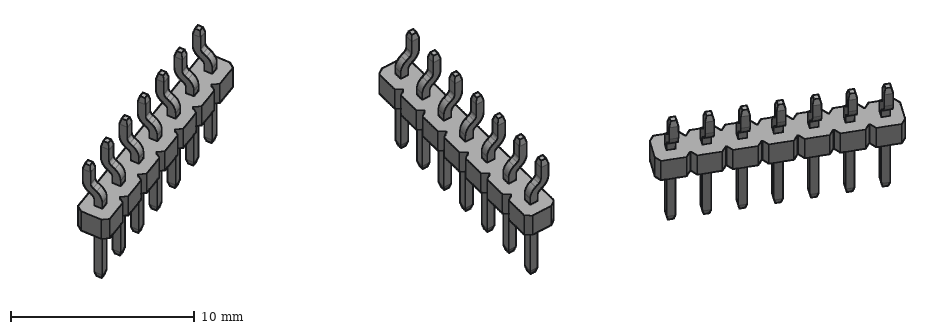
import cadquery as cq
import math

pin_count = 7
pitch = 2.0
row_length = pin_count * pitch
body_width = 2.0
body_height = 1.5
corner_cut_x = 0.36
corner_cut_y = 0.27
notch_floor = 0.05

pin_size = 0.51
tip_size = 0.32
tip_length = 0.38
pin_below = 4.0
pin_above = 2.85
jog_offset = 0.73
jog_start = 0.47
bend_angle = math.radians(56)
bend_radius = 0.58


def make_body():
    """Housing block with chamfered ends and a V notch between neighbouring cells."""
    body = cq.Workplane("XY").box(body_width, row_length, body_height, centered=(True, True, False))
    half_floor = notch_floor / 2
    half_mouth = half_floor + corner_cut_y
    for boundary in range(pin_count + 1):
        y = boundary * pitch - row_length / 2
        is_end = boundary in (0, pin_count)
        floor = 0 if is_end else half_floor
        mouth = corner_cut_y if is_end else half_mouth
        for side in (-1, 1):
            face_x = side * body_width / 2
            floor_x = face_x - side * corner_cut_x
            points = [(face_x, y - mouth), (face_x, y + mouth), (floor_x, y + floor)]
            if not is_end:
                points.append((floor_x, y - floor))
            body = body.cut(cq.Workplane("XY").polyline(points).close().extrude(body_height))
    return body


def make_tip(x, base_z, direction):
    """Tapered pin end pointing up (direction 1) or down (direction -1)."""
    return (
        cq.Workplane("XY", origin=(x, 0, base_z))
        .rect(pin_size, pin_size)
        .workplane(offset=direction * tip_length)
        .rect(tip_size, tip_size)
        .loft(ruled=True)
    )


def make_pin():
    """One pin: straight tail, two tangent bends shifting it toward -X, straight top."""
    tail_z = tip_length - pin_below
    top_z = body_height + pin_above - tip_length
    first_z = body_height + jog_start

    def bend_point(angle):
        """Offset (toward -X, up) travelled along a bend after turning by angle."""
        return bend_radius * (1 - math.cos(angle)), bend_radius * math.sin(angle)

    mid_x, mid_z = bend_point(bend_angle / 2)
    end_x, end_z = bend_point(bend_angle)
    slope_run = jog_offset - 2 * end_x
    slope_rise = slope_run / math.tan(bend_angle)
    last_z = first_z + 2 * end_z + slope_rise

    path = (
        cq.Workplane("XZ")
        .moveTo(0, tail_z)
        .lineTo(0, first_z)
        .threePointArc((-mid_x, first_z + mid_z), (-end_x, first_z + end_z))
        .lineTo(end_x - jog_offset, last_z - end_z)
        .threePointArc((mid_x - jog_offset, last_z - mid_z), (-jog_offset, last_z))
        .lineTo(-jog_offset, top_z)
    )
    wire = cq.Workplane("XY", origin=(0, 0, tail_z)).rect(pin_size, pin_size).sweep(path)
    return wire.union(make_tip(0, tail_z, -1)).union(make_tip(-jog_offset, top_z, 1))


result = make_body()
pin = make_pin()
for index in range(pin_count):
    pin_y = (index - (pin_count - 1) / 2) * pitch
    result = result.union(pin.translate((0, pin_y, 0)))